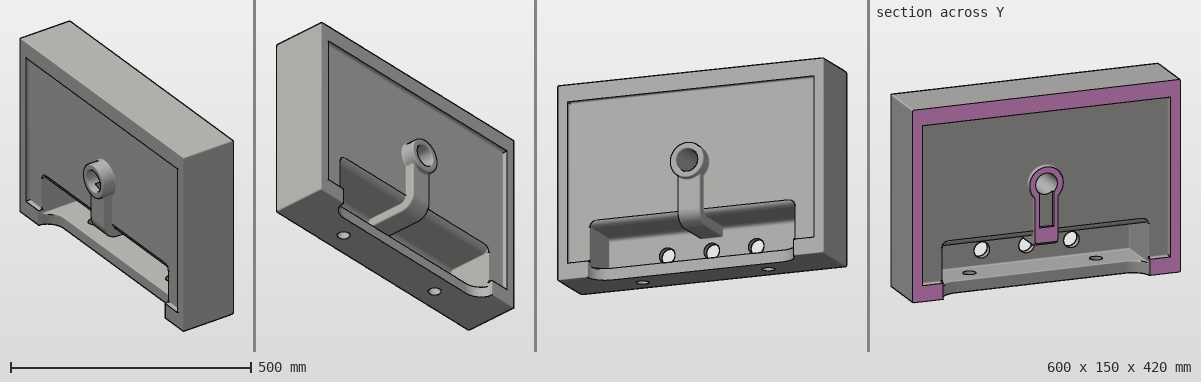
import cadquery as cq
import math


WIDTH = 600.0
HEIGHT = 420.0
OVERALL_DEPTH = 150.0
COLLAR_REACH = 21.0
DEPTH = OVERALL_DEPTH - COLLAR_REACH
CORNER_ROUND = 3.5
BACK_ROUND = 6.0
FRAME_ROUND = 2.0

PANEL_SIDE_MARGIN = 23.0
PANEL_BOTTOM = 36.0
PANEL_TOP = 383.0
PANEL_DEPTH = 9.0
PANEL_FILLET = 3.5

CAVITY_HALF_WIDTH = 230.5
CAVITY_DEPTH = 114.0
CAVITY_CORNER = 15.5
ROOF = 111.0
ROOF_ENTRY_ROUND = 15.0
ROOF_DECK_FILLET = 9.5
SIDE_FILLET = 2.5
SIDE_ENTRY_ROUND = 2.5

SHELF_TOP = 26.0
SHELF_SETBACK = 36.5
SHELF_CORNER = 42.0
SHELF_STRAIGHT_HALF = 190.0
SHELF_EDGE_ROUND = 2.5
SHELF_DECK_FILLET = 3.5

TAP_HOLE_DIAMETER = 35.0
TAP_HOLE_PITCH = 100.0
TAP_HOLE_Z = 61.0
MOUNT_HOLE_DIAMETER = 27.0
MOUNT_HOLE_X = 141.5
MOUNT_HOLE_Y = 80.5

DRAIN_Z = 225.0
COLLAR_DIAMETER = 76.0
COLLAR_RIM_ROUND = 3.0
COLLAR_BASE_FILLET = 3.0
BORE_DIAMETER = 47.5

DUCT_REACH = 10.0
DUCT_HALF_WIDTH = 26.0
DUCT_BOTTOM = 90.0
DUCT_BEND = 33.0
DUCT_EDGE_ROUND = 3.5
DUCT_BASE_FILLET = 2.0
CHANNEL_HALF_WIDTH = 15.5
CHANNEL_FRONT = -4.5
CHANNEL_BACK = 8.1
CHANNEL_BOTTOM = 132.0

OVERCUT = 6.0
REACH = 0.3
HALF_ARC = math.sqrt(0.5)


def box(x_range, y_range, z_range):
    """Box between two limits along each axis."""
    sizes = [high - low for low, high in (x_range, y_range, z_range)]
    return cq.Workplane("XY").box(*sizes, centered=False).translate((x_range[0], y_range[0], z_range[0]))


def cylinder(diameter, z, y_front, y_back):
    """Cylinder along Y on the middle plane."""
    return cq.Workplane("XZ", origin=(0, y_front, z)).circle(diameter / 2).extrude(y_front - y_back)


def within(x_range, y_range, z_range):
    """Selector for edges whose centres lie in the given limits."""
    limits = (x_range, y_range, z_range)
    low = tuple(limit[0] - REACH for limit in limits)
    high = tuple(limit[1] + REACH for limit in limits)
    return cq.selectors.BoxSelector(low, high)


def make_block():
    block = box((-WIDTH / 2, WIDTH / 2), (0, DEPTH), (0, HEIGHT))
    block = block.edges("|Y").fillet(CORNER_ROUND)
    block = block.faces(">Y").edges().fillet(BACK_ROUND)
    return block.faces("<Y").edges().fillet(FRAME_ROUND)


def make_panel_recess():
    half_width = WIDTH / 2 - PANEL_SIDE_MARGIN
    recess = box((-half_width, half_width), (0, PANEL_DEPTH), (PANEL_BOTTOM, PANEL_TOP))
    return recess.faces(">Y").edges().fillet(PANEL_FILLET)


def make_cavity():
    """Cavity with a rounded roof mouth and blends where roof and shelf meet the deck."""
    mouth_top = ROOF + ROOF_ENTRY_ROUND
    mouth_mid = ROOF_ENTRY_ROUND * (1 - HALF_ARC)
    roof_mid = ROOF_DECK_FILLET * (1 - HALF_ARC)
    shelf_mid = SHELF_DECK_FILLET * (1 - HALF_ARC)
    profile = (
        cq.Workplane("YZ", origin=(-CAVITY_HALF_WIDTH, 0, 0))
        .moveTo(-OVERCUT, SHELF_TOP)
        .lineTo(-OVERCUT, mouth_top)
        .lineTo(PANEL_DEPTH, mouth_top)
        .threePointArc((PANEL_DEPTH + mouth_mid, ROOF + mouth_mid), (PANEL_DEPTH + ROOF_ENTRY_ROUND, ROOF))
        .lineTo(CAVITY_DEPTH - ROOF_DECK_FILLET, ROOF)
        .threePointArc((CAVITY_DEPTH - roof_mid, ROOF - roof_mid), (CAVITY_DEPTH, ROOF - ROOF_DECK_FILLET))
        .lineTo(CAVITY_DEPTH, SHELF_TOP + SHELF_DECK_FILLET)
        .threePointArc(
            (CAVITY_DEPTH - shelf_mid, SHELF_TOP + shelf_mid),
            (CAVITY_DEPTH - SHELF_DECK_FILLET, SHELF_TOP),
        )
        .close()
        .extrude(2 * CAVITY_HALF_WIDTH)
    )
    outline = box(
        (-CAVITY_HALF_WIDTH, CAVITY_HALF_WIDTH),
        (-2 * OVERCUT, CAVITY_DEPTH + OVERCUT),
        (SHELF_TOP, mouth_top),
    )
    return profile.intersect(outline.edges("|Y and >Z").fillet(CAVITY_CORNER))


def make_shelf_notch():
    """Space in front of the shelf, whose ends curve forward to the cavity walls."""
    centre_y = SHELF_SETBACK - SHELF_CORNER
    end_angle = math.acos((CAVITY_HALF_WIDTH - SHELF_STRAIGHT_HALF) / SHELF_CORNER)
    mid_angle = (end_angle + math.pi / 2) / 2
    end_y = centre_y + SHELF_CORNER * math.sin(end_angle)
    mid_x = SHELF_STRAIGHT_HALF + SHELF_CORNER * math.cos(mid_angle)
    mid_y = centre_y + SHELF_CORNER * math.sin(mid_angle)
    return (
        cq.Workplane("XY")
        .moveTo(-CAVITY_HALF_WIDTH, -OVERCUT)
        .lineTo(CAVITY_HALF_WIDTH, -OVERCUT)
        .lineTo(CAVITY_HALF_WIDTH, end_y)
        .threePointArc((mid_x, mid_y), (SHELF_STRAIGHT_HALF, SHELF_SETBACK))
        .lineTo(-SHELF_STRAIGHT_HALF, SHELF_SETBACK)
        .threePointArc((-mid_x, mid_y), (-CAVITY_HALF_WIDTH, end_y))
        .close()
        .extrude(SHELF_TOP + OVERCUT)
    )


def make_underside_space():
    """Cavity and shelf notch together, with the shelf edge and the side walls blended."""
    space = make_cavity().union(make_shelf_notch()).clean()
    across = (-CAVITY_HALF_WIDTH, CAVITY_HALF_WIDTH)
    shelf_edge = within(across, (OVERCUT, SHELF_SETBACK), (SHELF_TOP, SHELF_TOP))
    space = space.edges(shelf_edge).fillet(SHELF_EDGE_ROUND)
    left_wall = within((-CAVITY_HALF_WIDTH,) * 2, (SHELF_SETBACK + OVERCUT, CAVITY_DEPTH), (SHELF_TOP, ROOF - 6))
    right_wall = within((CAVITY_HALF_WIDTH,) * 2, (SHELF_SETBACK + OVERCUT, CAVITY_DEPTH), (SHELF_TOP, ROOF - 6))
    return space.edges(left_wall + right_wall).fillet(SIDE_FILLET)


def make_side_entry(side, y_face, z_bottom, z_top):
    """Cutter that rounds a cavity side wall into the face at y_face; side is -1 or 1."""
    wall = side * CAVITY_HALF_WIDTH
    outer = side * (CAVITY_HALF_WIDTH + SIDE_ENTRY_ROUND)
    inner = side * (CAVITY_HALF_WIDTH - SIDE_ENTRY_ROUND)
    mid = SIDE_ENTRY_ROUND * (1 - HALF_ARC)
    return (
        cq.Workplane("XY", origin=(0, 0, z_bottom))
        .moveTo(inner, y_face)
        .lineTo(outer, y_face)
        .threePointArc((wall + side * mid, y_face + mid), (wall, y_face + SIDE_ENTRY_ROUND))
        .lineTo(inner, y_face + SIDE_ENTRY_ROUND)
        .close()
        .extrude(z_top - z_bottom)
    )


def make_duct():
    """Duct with a bent lower end, reaching from in front of the panel to the deck."""
    front = -DUCT_REACH
    bend_mid = DUCT_BEND * (1 - HALF_ARC)
    duct = (
        cq.Workplane("YZ", origin=(-DUCT_HALF_WIDTH, 0, 0))
        .moveTo(front, DRAIN_Z)
        .lineTo(front, DUCT_BOTTOM + DUCT_BEND)
        .threePointArc((front + bend_mid, DUCT_BOTTOM + bend_mid), (front + DUCT_BEND, DUCT_BOTTOM))
        .lineTo(CAVITY_DEPTH, DUCT_BOTTOM)
        .lineTo(CAVITY_DEPTH, DRAIN_Z)
        .close()
        .extrude(2 * DUCT_HALF_WIDTH)
    )
    return duct.faces("<Y").edges("|Z").fillet(DUCT_EDGE_ROUND)


def add_collar_and_duct(basin):
    collar_radius = COLLAR_DIAMETER / 2
    collar_x = (-collar_radius, collar_radius)
    collar_z = (DRAIN_Z - collar_radius, DRAIN_Z + collar_radius)
    duct_x = (-DUCT_HALF_WIDTH, DUCT_HALF_WIDTH)

    basin = basin.union(make_duct())
    basin = basin.union(cylinder(COLLAR_DIAMETER, DRAIN_Z, -COLLAR_REACH, PANEL_DEPTH))
    collar_base = within(collar_x, (-DUCT_REACH, PANEL_DEPTH), collar_z)
    duct_base = within(duct_x, (PANEL_DEPTH, CAVITY_DEPTH), (DUCT_BOTTOM, DRAIN_Z))
    basin = basin.edges(collar_base).fillet(COLLAR_BASE_FILLET)
    basin = basin.edges(duct_base - collar_base).fillet(DUCT_BASE_FILLET)

    basin = basin.cut(cylinder(BORE_DIAMETER, DRAIN_Z, -COLLAR_REACH, DEPTH))
    basin = basin.faces("<Y").edges().fillet(COLLAR_RIM_ROUND)
    channel = box(
        (-CHANNEL_HALF_WIDTH, CHANNEL_HALF_WIDTH),
        (CHANNEL_FRONT, CHANNEL_BACK),
        (CHANNEL_BOTTOM, DRAIN_Z),
    )
    return basin.cut(channel)


def make_tap_holes():
    centres = [(step * TAP_HOLE_PITCH, TAP_HOLE_Z) for step in (-1, 0, 1)]
    return cq.Workplane("XZ").pushPoints(centres).circle(TAP_HOLE_DIAMETER / 2).extrude(-DEPTH)


def make_mount_holes():
    centres = [(side * MOUNT_HOLE_X, MOUNT_HOLE_Y) for side in (-1, 1)]
    return cq.Workplane("XY").pushPoints(centres).circle(MOUNT_HOLE_DIAMETER / 2).extrude(SHELF_TOP)


def make_basin():
    basin = make_block().cut(make_panel_recess()).cut(make_underside_space())
    for side in (-1, 1):
        basin = basin.cut(make_side_entry(side, 0, 0, PANEL_BOTTOM))
        basin = basin.cut(make_side_entry(side, PANEL_DEPTH, PANEL_BOTTOM, ROOF))
    basin = add_collar_and_duct(basin)
    return basin.cut(make_tap_holes()).cut(make_mount_holes())


basin = make_basin()
result = cq.Compound.makeCompound([basin.val()])